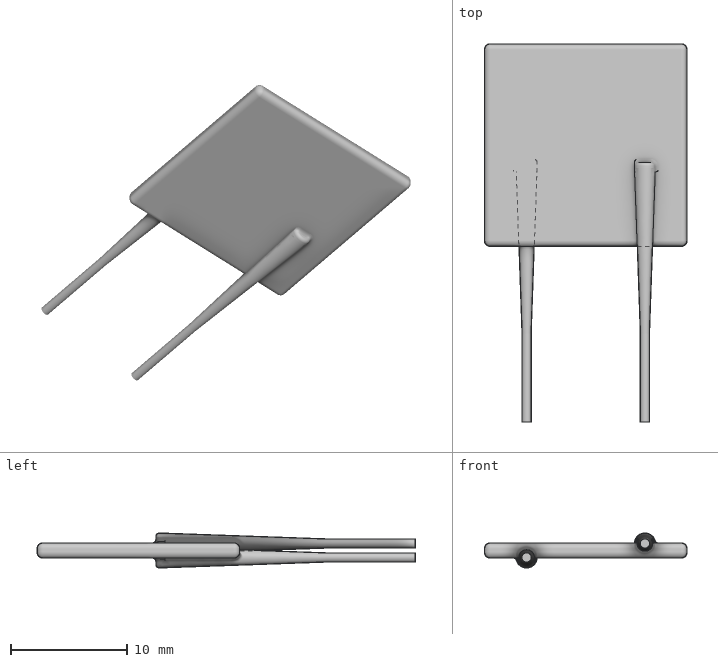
import cadquery as cq

plate_side = 17.4
plate_thickness = 1.3
plate_edge_radius = 0.5

overall_length = 32.5
lead_spacing = 10.16
lead_height = 0.6
wire_radius = 0.4
wire_length = 7.6
sleeve_length = 14.7
sleeve_radius = 0.9
collar_length = 0.5
sleeve_rim_radius = 0.3
joint_radius = 0.3

plate_top = plate_thickness / 2
lead_x = lead_spacing / 2
wire_tip_y = plate_side / 2 - overall_length
wire_start_y = wire_tip_y + wire_length
sleeve_end_y = wire_start_y + sleeve_length
collar_start_y = sleeve_end_y - collar_length


def make_plate():
    """Square plate with every edge rounded."""
    return cq.Workplane("XY").box(plate_side, plate_side, plate_thickness).edges().fillet(plate_edge_radius)


def make_upper_lead():
    """Round wire widening into a tapered sleeve that ends in a short collar with a rounded rim."""
    lead = (
        cq.Workplane("YZ")
        .moveTo(wire_tip_y, 0)
        .lineTo(wire_tip_y, wire_radius)
        .lineTo(wire_start_y, wire_radius)
        .lineTo(collar_start_y, sleeve_radius)
        .lineTo(sleeve_end_y, sleeve_radius)
        .lineTo(sleeve_end_y, 0)
        .close()
        .revolve(360, (0, 0, 0), (1, 0, 0))
        .faces(">Y")
        .edges()
        .fillet(sleeve_rim_radius)
    )
    return lead.translate((lead_x, 0, lead_height))


def make_joint_region():
    """Block around the sleeve end: flush with the sleeve on -X, one fillet wider on +X."""
    left = lead_x - sleeve_radius
    right = lead_x + sleeve_radius + joint_radius
    front = collar_start_y - joint_radius
    back = sleeve_end_y + joint_radius
    height = lead_height + sleeve_radius
    return (
        cq.Workplane("XY")
        .moveTo(left, front)
        .lineTo(right - joint_radius, front)
        .radiusArc((right, front + joint_radius), -joint_radius)
        .lineTo(right, back)
        .lineTo(left + joint_radius, back)
        .radiusArc((left, back - joint_radius), -joint_radius)
        .close()
        .extrude(height)
    )


def make_joint(plate, lead):
    """Sleeve end blended into the plate by a concave fillet, trimmed to the joint region."""
    body = plate.union(lead)
    seam_point = (lead_x, sleeve_end_y, plate_top)
    blended = body.edges(cq.selectors.NearestToPointSelector(seam_point)).fillet(joint_radius)
    return blended.intersect(make_joint_region())


plate = make_plate()
upper_lead = make_upper_lead()
upper_lead = upper_lead.union(make_joint(plate, upper_lead))

lower_lead = upper_lead.rotate((0, 0, 0), (0, 1, 0), 180)

result = plate.union(upper_lead).union(lower_lead)